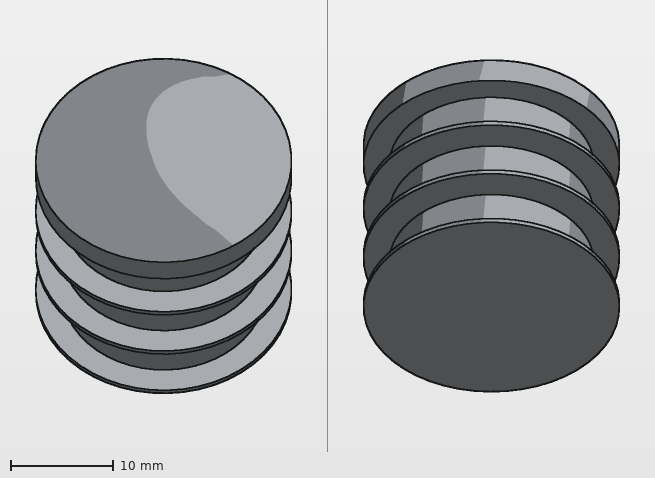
import cadquery as cq
import math

total_height = 25.0
outer_radius = 12.5
stem_radius = 10.0
dome_radius = 25.0
head_base = 19.0
fin_count = 3
fin_height = 1.0
fin_rim_height = 0.5

fin_pitch = head_base / fin_count
dome_height = dome_radius - math.sqrt(dome_radius**2 - outer_radius**2)
head_rim_top = total_height - dome_height


def make_stem():
    return cq.Workplane("XY").circle(stem_radius).extrude(head_base)


def make_fin(base):
    """Sealing fin with a flat top and a conical underside."""
    rim_base = base + fin_height - fin_rim_height
    profile = (
        cq.Workplane("XZ")
        .moveTo(0, base)
        .lineTo(stem_radius, base)
        .lineTo(outer_radius, rim_base)
        .lineTo(outer_radius, base + fin_height)
        .lineTo(0, base + fin_height)
        .close()
    )
    return profile.revolve(360, (0, 0, 0), (0, 1, 0))


def make_head():
    """Cylindrical rim capped by a shallow spherical dome."""
    half_angle = math.asin(outer_radius / dome_radius) / 2
    dome_center = total_height - dome_radius
    arc_middle = (
        dome_radius * math.sin(half_angle),
        dome_center + dome_radius * math.cos(half_angle),
    )
    profile = (
        cq.Workplane("XZ")
        .moveTo(0, head_base)
        .lineTo(outer_radius, head_base)
        .lineTo(outer_radius, head_rim_top)
        .threePointArc(arc_middle, (0, total_height))
        .close()
    )
    return profile.revolve(360, (0, 0, 0), (0, 1, 0))


result = make_stem().union(make_head())
for index in range(fin_count):
    result = result.union(make_fin(index * fin_pitch))